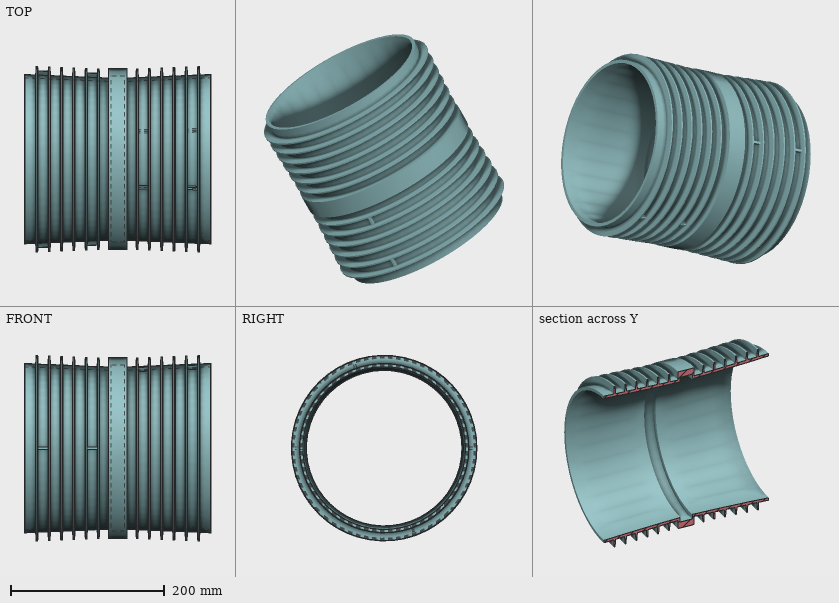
import cadquery as cq

length = 242.5
half_length = length / 2

end_radius = 110.3
waist_radius = 105.2
wall = 4.4
taper = (end_radius - waist_radius) / half_length

collar_diameter = 235.7
collar_width = 24.2

groove_diameter = 216.3
groove_width = 17.0

fins_per_end = 6
fin_spacing = 16.0
fin_height = 11.2
fin_base_width = 3.5
fin_tip_width = 2.0

rib_height = 5.5
rib_width = 3.0
rib_gaps = (1, 5)
left_rib_angle = 90.0
right_rib_angle = 19.5


def body_radius(x):
    """Outer radius of the tapered body at position x."""
    return waist_radius + taper * abs(x)


def revolve_profile(points):
    """Turn a closed (x, radius) outline about the X axis."""
    return cq.Workplane("XY").polyline(points).close().revolve(360, (0, 0, 0), (1, 0, 0))


def make_body():
    return revolve_profile([
        (-half_length, end_radius - wall),
        (-half_length, end_radius),
        (0, waist_radius),
        (half_length, end_radius),
        (half_length, end_radius - wall),
        (0, waist_radius - wall),
    ])


def make_collar():
    mid_wall_radius = waist_radius - wall / 2
    collar_radius = collar_diameter / 2
    return revolve_profile([
        (-collar_width / 2, mid_wall_radius),
        (-collar_width / 2, collar_radius),
        (collar_width / 2, collar_radius),
        (collar_width / 2, mid_wall_radius),
    ])


def make_groove():
    inside_radius = waist_radius - 2 * wall
    groove_radius = groove_diameter / 2
    return revolve_profile([
        (-groove_width / 2, inside_radius),
        (-groove_width / 2, groove_radius),
        (groove_width / 2, groove_radius),
        (groove_width / 2, inside_radius),
    ])


def make_fin(x):
    root_radius = body_radius(x) - wall / 2
    base_radius = body_radius(x)
    tip_radius = base_radius + fin_height
    return revolve_profile([
        (x - fin_base_width / 2, root_radius),
        (x - fin_base_width / 2, base_radius),
        (x - fin_tip_width / 2, tip_radius),
        (x + fin_tip_width / 2, tip_radius),
        (x + fin_base_width / 2, base_radius),
        (x + fin_base_width / 2, root_radius),
    ])


def fin_position(side, number):
    return side * (half_length - number * fin_spacing)


def make_rib(x_start, x_end, angle):
    """Rib from one fin to the next, its top following the body taper."""
    outline = [
        (x_start, body_radius(x_start) - wall / 2),
        (x_start, body_radius(x_start) + rib_height),
        (x_end, body_radius(x_end) + rib_height),
        (x_end, body_radius(x_end) - wall / 2),
    ]
    rib = cq.Workplane("XZ").polyline(outline).close().extrude(rib_width / 2, both=True)
    return rib.rotate((0, 0, 0), (1, 0, 0), angle)


result = make_body().union(make_collar()).cut(make_groove())

for side, rib_angle in ((-1, left_rib_angle), (1, right_rib_angle)):
    for number in range(1, fins_per_end + 1):
        result = result.union(make_fin(fin_position(side, number)))
    for gap in rib_gaps:
        for turn in (0, 180):
            rib = make_rib(fin_position(side, gap), fin_position(side, gap + 1), rib_angle + turn)
            result = result.union(rib)